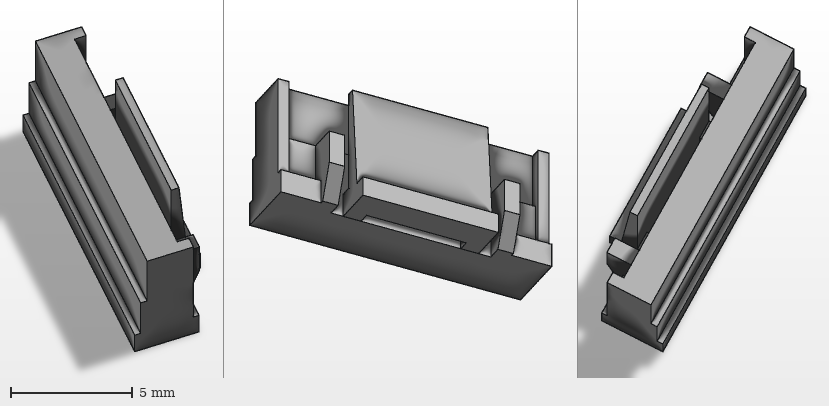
import cadquery as cq

length = 12.5
height = 5.7
overall_depth = 4.15

base_height = 1.09
shoulder_height = 3.09
middle_front = 0.26
upper_front = 0.55
upper_back = 2.09
wall_back = 2.35

end_wall_width = 0.5
end_wall_back = 2.6
flange_back = 2.85
rib_outer_offset = 1.85
rib_width = 0.71
rib_back = 3.6
rib_slope_bottom_y = 3.0
rib_slope_height = 1.56

latch_length = length / 2
latch_front = flange_back
latch_tip_back = 3.2
latch_foot_height = 0.9
latch_root_back = rib_back
latch_arm_width = 0.82
latch_arm_height = base_height


def extrude_along_x(profile, start, width):
    """Extrude a closed (y, z) outline along X from the given start."""
    return cq.Workplane("YZ", origin=(start, 0, 0)).polyline(profile).close().extrude(width)


def block(x_start, y_front, width, y_back, block_height):
    """Box standing on the base plane."""
    depth = y_back - y_front
    return cq.Workplane("XY").box(width, depth, block_height, centered=False).translate((x_start, y_front, 0))


def mirrored_starts(offset, width):
    """Left-hand X positions of a feature and its mirror copy about the middle of the length."""
    return (offset, length - offset - width)


def make_housing():
    stepped_profile = [
        (0, 0),
        (wall_back, 0),
        (wall_back, shoulder_height),
        (upper_back, shoulder_height),
        (upper_back, height),
        (upper_front, height),
        (upper_front, shoulder_height),
        (middle_front, shoulder_height),
        (middle_front, base_height),
        (0, base_height),
    ]
    housing = extrude_along_x(stepped_profile, 0, length)

    for x in mirrored_starts(0, end_wall_width):
        housing = housing.union(block(x, upper_front, end_wall_width, end_wall_back, height))

    for x in mirrored_starts(0, rib_outer_offset):
        housing = housing.union(block(x, middle_front, rib_outer_offset, flange_back, base_height))

    rib_profile = [
        (upper_front, 0),
        (rib_slope_bottom_y, 0),
        (rib_back, rib_slope_height),
        (rib_back, shoulder_height),
        (upper_front, shoulder_height),
    ]
    for x in mirrored_starts(rib_outer_offset, rib_width):
        housing = housing.union(extrude_along_x(rib_profile, x, rib_width))
    return housing


def make_latch():
    latch_profile = [
        (latch_front, 0),
        (overall_depth, 0),
        (overall_depth, latch_foot_height),
        (latch_root_back, latch_foot_height),
        (latch_tip_back, height),
        (latch_front, height),
    ]
    latch_start = (length - latch_length) / 2
    latch = extrude_along_x(latch_profile, latch_start, latch_length)

    for x in mirrored_starts(latch_start, latch_arm_width):
        latch = latch.union(block(x, wall_back, latch_arm_width, latch_front, latch_arm_height))
    return latch


housing = make_housing()
latch = make_latch()
result = cq.Compound.makeCompound([housing.val(), latch.val()])